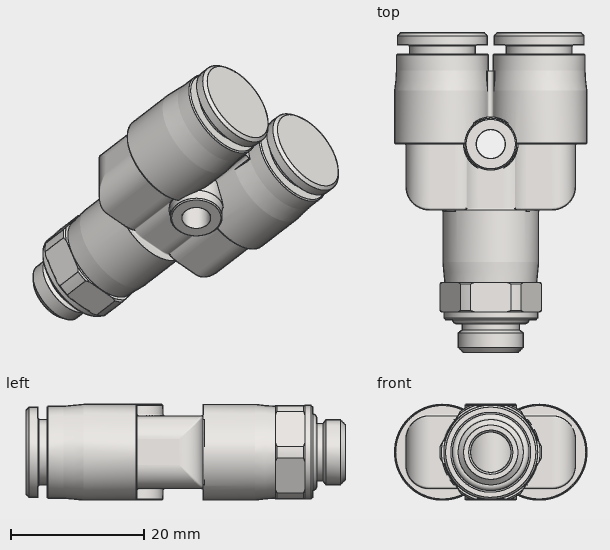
import cadquery as cq
import math

total_length = 48.0
edge_break = 0.2

barrel_radius = 7.2
sleeve_radius = 6.9
taper_length = 3.0

port_offset = 7.25
barrel_bottom = 31.3
barrel_taper_start = 39.25
barrel_taper_end = barrel_taper_start + taper_length
sleeve_top = 44.85
collet_neck_radius = 4.95
collet_flange_radius = 6.75
collet_flange_bottom = 46.2
collet_chamfer = 0.5

web_round = 0.5
web_half_width = 0.65

block_bottom = 21.4
lobe_half = 5.45
lobe_fillet = 3.55
block_edge_round = 0.3
valley_half_width = 0.15

boss_radius = 3.9
boss_half_height = 7.2
mount_hole_radius = 2.15

hex_top = 10.55
stem_taper_start = hex_top + taper_length

hex_bottom = 6.1
hex_flats = 14.0
hex_corner_radius = 7.65
hex_end_chamfer = 0.25

flange_radius = 7.05
flange_bottom = 4.95
flange_chamfer = 0.3
groove_radius = 6.0
ring_tube_radius = 0.7
ring_bottom = 4.3

neck_radius = 4.3
neck_bottom = 3.4
thread_radius = 4.9
thread_top = 3.0
tip_chamfer = 0.8
bore_radius = 3.0
bore_mouth_chamfer = 0.3

ring_center_radius = neck_radius + ring_tube_radius
ring_center_y = ring_bottom + ring_tube_radius
groove_floor = ring_center_y + ring_tube_radius


def revolve_y(points):
    """Revolve a (radius, y) outline about the Y axis."""
    return cq.Workplane("XY").polyline(points).close().revolve(360, (0, 0, 0), (0, 1, 0))


def along_y(y):
    """Workplane at height y, local axes (X, Z), extruding toward -Y."""
    return cq.Workplane("XZ", origin=(0, y, 0))


def barrel(x):
    profile = [
        (0, barrel_bottom),
        (barrel_radius - edge_break, barrel_bottom),
        (barrel_radius, barrel_bottom + edge_break),
        (barrel_radius, barrel_taper_start),
        (sleeve_radius, barrel_taper_end),
        (sleeve_radius, sleeve_top - edge_break),
        (sleeve_radius - edge_break, sleeve_top),
        (0, sleeve_top),
    ]
    return revolve_y(profile).translate((x, 0, 0))


def collet(x):
    """Release collet: a neck that widens into the push flange."""
    profile = [
        (0, sleeve_top),
        (collet_neck_radius, sleeve_top),
        (collet_neck_radius, collet_flange_bottom - edge_break),
        (collet_neck_radius + edge_break, collet_flange_bottom),
        (collet_flange_radius, collet_flange_bottom),
        (collet_flange_radius, total_length - collet_chamfer),
        (collet_flange_radius - collet_chamfer, total_length),
        (0, total_length),
    ]
    return revolve_y(profile).translate((x, 0, 0))


def lobe(x):
    """One rounded-square lobe of the block, reaching slightly into the barrels."""
    top = barrel_bottom + edge_break
    return (
        along_y(top)
        .center(x, 0)
        .rect(2 * lobe_half, 2 * lobe_half)
        .extrude(top - block_bottom)
        .edges("|Y")
        .fillet(lobe_fillet)
    )


def root_edges(body, x, y):
    """Edges where the lobe centered at x meets the round face at height y."""
    reach = lobe_half + edge_break
    slab = cq.selectors.BoxSelector(
        (x - reach, y - edge_break / 2, -reach),
        (x + reach, y + edge_break / 2, reach),
        boundingbox=True,
    )
    return body.edges(slab)


def port_half():
    """The +X port: a lobe with its outer bottom corner rounded, barrel and collet."""
    outer_x = port_offset + lobe_half
    envelope = (
        cq.Workplane("XY")
        .moveTo(0, block_bottom)
        .lineTo(outer_x, block_bottom)
        .lineTo(outer_x, sleeve_top)
        .lineTo(0, sleeve_top)
        .close()
        .extrude(lobe_half, both=True)
        .edges("|Z and <Y and >X")
        .fillet(lobe_fillet)
    )
    base = lobe(port_offset).intersect(envelope).edges("<Y").edges("|X").fillet(block_edge_round)
    joined = base.union(barrel(port_offset))
    rooted = root_edges(joined, port_offset, barrel_bottom).fillet(edge_break)
    return rooted.union(collet(port_offset))


def valley_filler(round_radius, side_radius, half_spacing, half_width, bottom, top):
    """Filler between two equal parallel cylinders, with concave rounds tangent to both above and below.

    The cylinders run along Y from bottom to top, their axes half_spacing either side of the Y axis.
    """
    round_z = math.sqrt((side_radius + round_radius) ** 2 - half_spacing ** 2)
    tangent_z = round_z * side_radius / (side_radius + round_radius)
    plane = along_y(top)
    filler = plane.rect(2 * half_width, 2 * tangent_z).extrude(top - bottom)
    rounds = plane.pushPoints([(0, -round_z), (0, round_z)]).circle(round_radius).extrude(top - bottom)
    return filler.cut(rounds)


def web():
    return valley_filler(
        web_round, barrel_radius, port_offset, web_half_width, barrel_bottom, barrel_taper_end
    )


def lobe_valley(x, z):
    """Small root round in the crease between neighboring lobes."""
    filler = valley_filler(
        edge_break,
        lobe_fillet,
        port_offset / 2 - (lobe_half - lobe_fillet),
        valley_half_width,
        block_bottom + edge_break,
        barrel_bottom + 2 * edge_break,
    )
    return filler.translate((x, 0, z))


def stem():
    """Stem shank, seal flange with its open groove, neck and threaded tip."""
    return revolve_y([
        (0, block_bottom),
        (barrel_radius, block_bottom),
        (barrel_radius, stem_taper_start),
        (sleeve_radius, hex_top),
        (sleeve_radius, hex_bottom),
        (flange_radius, hex_bottom),
        (flange_radius, flange_bottom + flange_chamfer),
        (flange_radius - flange_chamfer, flange_bottom),
        (groove_radius, flange_bottom),
        (groove_radius, groove_floor),
        (neck_radius, groove_floor),
        (neck_radius, neck_bottom),
        (thread_radius, thread_top),
        (thread_radius, tip_chamfer),
        (thread_radius - tip_chamfer, 0),
        (0, 0),
    ])


def hexagon():
    height = hex_top - hex_bottom
    across_corners = hex_flats / math.cos(math.pi / 6)
    prism = along_y(hex_top).polygon(6, across_corners).extrude(height)
    envelope = along_y(hex_top).circle(hex_corner_radius).extrude(height).edges().chamfer(hex_end_chamfer)
    return prism.intersect(envelope)


def stem_root():
    """Concave round where the shank leaves the bottom of the block."""
    ring = (
        cq.Workplane("XY")
        .moveTo(0, block_bottom)
        .lineTo(barrel_radius + edge_break, block_bottom)
        .radiusArc((barrel_radius, block_bottom - edge_break), -edge_break)
        .lineTo(0, block_bottom - edge_break)
        .close()
        .revolve(360, (0, 0, 0), (0, 1, 0))
    )
    slab_height = 2 * (lobe_half - 2 * block_edge_round)
    slab = along_y(block_bottom).rect(4 * barrel_radius, slab_height).extrude(edge_break)
    return ring.intersect(slab)


def center_half():
    """Center lobe carried by the stem and hexagon."""
    joined = lobe(0).union(stem())
    rooted = root_edges(joined, 0, block_bottom).fillet(edge_break)
    return rooted.union(hexagon())


def boss_half():
    """Upper half of the cross boss, with a root collar on the block and a broken top edge."""
    return (
        cq.Workplane("YZ")
        .moveTo(0, 0)
        .lineTo(boss_radius + edge_break, 0)
        .lineTo(boss_radius + edge_break, lobe_half)
        .radiusArc((boss_radius, lobe_half + edge_break), edge_break)
        .lineTo(boss_radius, boss_half_height - edge_break)
        .lineTo(boss_radius - edge_break, boss_half_height)
        .lineTo(0, boss_half_height)
        .close()
        .revolve(360, (0, 0, 0), (0, 1, 0))
        .translate((0, barrel_bottom, 0))
    )


def cross_cylinder(radius):
    """Cylinder along the cross boss axis, through the whole height."""
    return (
        cq.Workplane("XY", origin=(0, barrel_bottom, -boss_half_height))
        .circle(radius)
        .extrude(2 * boss_half_height)
    )


def bore():
    """Stem bore, ending against the column of the cross boss."""
    passage = revolve_y([
        (0, 0),
        (bore_radius + bore_mouth_chamfer, 0),
        (bore_radius, bore_mouth_chamfer),
        (bore_radius, barrel_bottom),
        (0, barrel_bottom),
    ])
    return passage.cut(cross_cylinder(boss_radius))


def make_fitting():
    port = port_half()
    body = center_half().union(stem_root()).union(port).union(port.mirror("YZ")).union(web())
    crease_z = lobe_half - lobe_fillet
    for x in (-port_offset / 2, port_offset / 2):
        for z in (-crease_z, crease_z):
            body = body.union(lobe_valley(x, z))
    boss = boss_half()
    body = body.union(boss).union(boss.mirror("XY"))
    return body.cut(bore()).cut(cross_cylinder(mount_hole_radius))


def make_o_ring():
    """O-ring resting on the groove floor and hugging the neck."""
    return (
        cq.Workplane("XY")
        .center(ring_center_radius, ring_center_y)
        .circle(ring_tube_radius)
        .revolve(360, (-ring_center_radius, 0, 0), (-ring_center_radius, 1, 0))
    )


fitting = make_fitting()
o_ring = make_o_ring()
result = cq.Compound.makeCompound([fitting.val(), o_ring.val()])